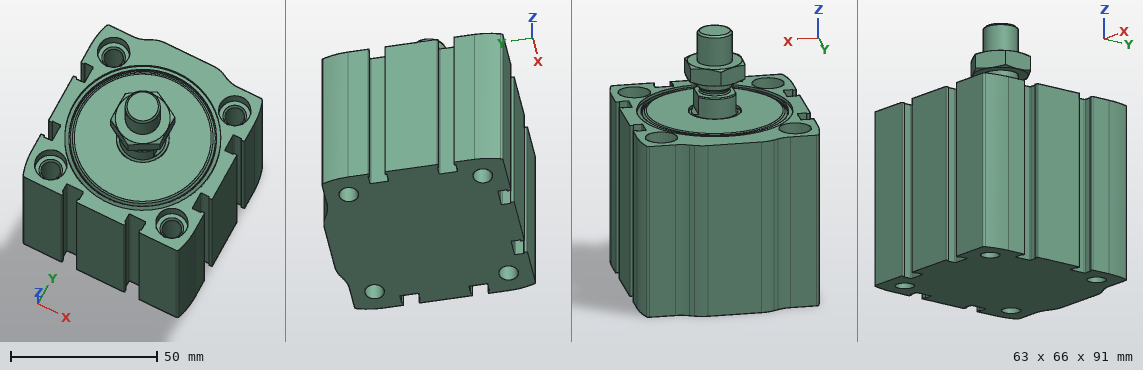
import cadquery as cq
import math

body_width = 63.0
body_half = body_width / 2
body_height = 62.0
bump_height = 3.0
bump_top_half_width = 11.7
bump_angle = 27
bump_blend = 10
side_bow_start = 22.0
side_bow_radius = 27.3
corner_radius = 1.0

slot_offset = 12.0
slot_neck_width = 5.5
slot_width = 6.5
slot_depth = 4.55
slot_lip = 1.4
slot_round = 0.4
lip_round = 0.3

hole_offset = 23.3
hole_diameter = 6.6
hole_chamfer_diameter = 8.0
counterbore_diameter = 11.0
counterbore_depth = 5.0

ring_outer_diameter = 53.3
ring_outer_depth = 1.1
crest_diameter = 50.4
crest_depth = 0.2
ring_inner_diameter = 49.6
ring_inner_depth = 1.0
cover_bevel_diameter = 48.05
cover_bevel_depth = 0.3
cover_diameter = 46.8

rod_diameter = 16.0
rod_seat_diameter = 18.1
rod_seat_depth = 0.9
rod_seat_crest_depth = 0.3
rod_insertion = 18.2
rod_shoulder = 7.2
rod_chamfer = 0.4
flat_width = 13.1
flat_start = 0.6
flat_runout_angle = 35
total_height = 91
thread_diameter = 12.0
thread_tip_diameter = 10.65
thread_start = 71.25
neck_top_diameter = 10.5
neck_diameter = 9.8
neck_foot_diameter = 10.7
neck_foot_height = 0.5

nut_width = 19.0
nut_base = 74.1
nut_thickness = 6.1
nut_face_diameter = 18.75
nut_chamfer_angle = 20


def cylinder(diameter, base, top):
    """Vertical cylinder on the Z axis."""
    return cq.Workplane("XY").workplane(offset=base).circle(diameter / 2).extrude(top - base)


def revolved(profile):
    """Solid of revolution about Z from (radius, height) points."""
    return cq.Workplane("XZ").polyline(profile).close().revolve(360, (0, 0, 0), (0, 1, 0))


def round_edge_pair(body, x, y, radius):
    """Fillet the vertical body edges at (x, y) and (-x, y)."""
    for edge_x in (-x, x):
        edge = cq.selectors.NearestToPointSelector((edge_x, y, body_height / 2))
        body = body.edges(edge).fillet(radius)
    return body


def barrel():
    """Square body with bowed side ends and a raised flat bump on the +Y side."""
    bow_rise = body_half - side_bow_start
    bow_angle = math.asin(bow_rise / side_bow_radius)
    bow_inset = side_bow_radius * (1 - math.cos(bow_angle))
    mid_inset = side_bow_radius * (1 - math.cos(bow_angle / 2))
    mid_y = side_bow_start + side_bow_radius * math.sin(bow_angle / 2)
    corner_x = body_half - bow_inset
    mid_x = body_half - mid_inset
    bump_top = body_half + bump_height
    bump_foot = bump_top_half_width + bump_height / math.tan(math.radians(bump_angle))

    body = (
        cq.Workplane("XY")
        .moveTo(-corner_x, -body_half)
        .lineTo(corner_x, -body_half)
        .threePointArc((mid_x, -mid_y), (body_half, -side_bow_start))
        .lineTo(body_half, side_bow_start)
        .threePointArc((mid_x, mid_y), (corner_x, body_half))
        .lineTo(bump_foot, body_half)
        .lineTo(bump_top_half_width, bump_top)
        .lineTo(-bump_top_half_width, bump_top)
        .lineTo(-bump_foot, body_half)
        .lineTo(-corner_x, body_half)
        .threePointArc((-mid_x, mid_y), (-body_half, side_bow_start))
        .lineTo(-body_half, -side_bow_start)
        .threePointArc((-mid_x, -mid_y), (-corner_x, -body_half))
        .close()
        .extrude(body_height)
    )
    for x, y in ((bump_foot, body_half), (bump_top_half_width, bump_top)):
        body = round_edge_pair(body, x, y, bump_blend)
    for y in (-body_half, body_half):
        body = round_edge_pair(body, corner_x, y, corner_radius)
    return body


def t_slot():
    """Full-height T-slot cutter opening towards +X at the body side, narrowed by two rounded lips."""
    slot = (
        cq.Workplane("XY")
        .box(slot_depth, slot_width, body_height, centered=(False, True, False))
        .edges("|Z and <X")
        .fillet(slot_round)
    )
    lip_width = (slot_width - slot_neck_width) / 2
    lip = (
        cq.Workplane("XY")
        .box(slot_lip, lip_width, body_height, centered=(False, False, False))
        .edges("|Z and <Y")
        .fillet(lip_round)
        .translate((slot_depth - slot_lip, slot_neck_width / 2, 0))
    )
    return slot.cut(lip).cut(lip.mirror("XZ")).translate((body_half - slot_depth, 0, 0))


def mounting_hole():
    """Through hole with a chamfered mouth at the bottom of a counterbore."""
    mouth = body_height - counterbore_depth
    mouth_chamfer = (hole_chamfer_diameter - hole_diameter) / 2
    return revolved([
        (0, 0),
        (hole_diameter / 2, 0),
        (hole_diameter / 2, mouth - mouth_chamfer),
        (hole_chamfer_diameter / 2, mouth),
        (counterbore_diameter / 2, mouth),
        (counterbore_diameter / 2, body_height),
        (0, body_height),
    ])


def cover_ring_groove():
    """Ring groove that sets the end cover off from the barrel; its floors fall outwards."""
    return revolved([
        (cover_diameter / 2, body_height),
        (cover_bevel_diameter / 2, body_height - cover_bevel_depth),
        (ring_inner_diameter / 2, body_height - ring_inner_depth),
        (crest_diameter / 2, body_height - ring_inner_depth),
        (crest_diameter / 2, body_height - crest_depth),
        (ring_outer_diameter / 2, body_height - ring_outer_depth),
        (ring_outer_diameter / 2, body_height),
    ])


def rod_seat_groove():
    """Shallow groove around the rod whose floor falls outwards."""
    return revolved([
        (rod_diameter / 2, body_height),
        (rod_diameter / 2, body_height - rod_seat_crest_depth),
        (rod_seat_diameter / 2, body_height - rod_seat_depth),
        (rod_seat_diameter / 2, body_height),
    ])


def make_housing():
    body = barrel()
    for angle in (180, 270, 360):
        for offset in (-slot_offset, slot_offset):
            body = body.cut(t_slot().translate((0, offset, 0)).rotate((0, 0, 0), (0, 0, 1), angle))
    for x in (-hole_offset, hole_offset):
        for y in (-hole_offset, hole_offset):
            body = body.cut(mounting_hole().translate((x, y, 0)))
    body = body.cut(cover_ring_groove()).cut(rod_seat_groove())
    return body.cut(cylinder(rod_diameter, body_height - rod_insertion, body_height))


def make_rod():
    """Piston rod with wrench flats, an undercut neck and a threaded end."""
    shoulder = body_height + rod_shoulder
    neck_cone = (thread_diameter - neck_top_diameter) / 2
    tip_chamfer = (thread_diameter - thread_tip_diameter) / 2
    rod = revolved([
        (0, body_height - rod_insertion),
        (rod_diameter / 2, body_height - rod_insertion),
        (rod_diameter / 2, shoulder - rod_chamfer),
        (rod_diameter / 2 - rod_chamfer, shoulder),
        (neck_foot_diameter / 2, shoulder),
        (neck_diameter / 2, shoulder + neck_foot_height),
        (neck_top_diameter / 2, thread_start - neck_cone),
        (thread_diameter / 2, thread_start),
        (thread_diameter / 2, total_height - tip_chamfer),
        (thread_tip_diameter / 2, total_height),
        (0, total_height),
    ])
    flat_base = body_height + flat_start
    runout = rod_diameter - flat_width
    runout_drop = runout * math.tan(math.radians(flat_runout_angle))
    flat_cut = (
        cq.Workplane("XZ")
        .moveTo(flat_width / 2, shoulder)
        .lineTo(flat_width / 2, flat_base)
        .lineTo(flat_width / 2 + runout, flat_base - runout_drop)
        .lineTo(flat_width / 2 + runout, shoulder)
        .close()
        .extrude(rod_diameter / 2, both=True)
    )
    return rod.cut(flat_cut).cut(flat_cut.mirror("YZ"))


def make_nut():
    """Hexagon nut, corners along Y, chamfered on both faces."""
    corner_diameter = nut_width / math.cos(math.radians(30))
    drop = (corner_diameter - nut_face_diameter) / 2 * math.tan(math.radians(nut_chamfer_angle))
    hexagon = (
        cq.Workplane("XY")
        .polygon(6, corner_diameter)
        .extrude(nut_thickness)
        .rotate((0, 0, 0), (0, 0, 1), 90)
    )
    envelope = revolved([
        (0, 0),
        (nut_face_diameter / 2, 0),
        (corner_diameter / 2, drop),
        (corner_diameter / 2, nut_thickness - drop),
        (nut_face_diameter / 2, nut_thickness),
        (0, nut_thickness),
    ])
    bore = cylinder(thread_diameter, 0, nut_thickness)
    return hexagon.intersect(envelope).cut(bore).translate((0, 0, nut_base))


housing = make_housing()
rod = make_rod()
nut = make_nut()

result = cq.Compound.makeCompound([housing.val(), rod.val(), nut.val()])